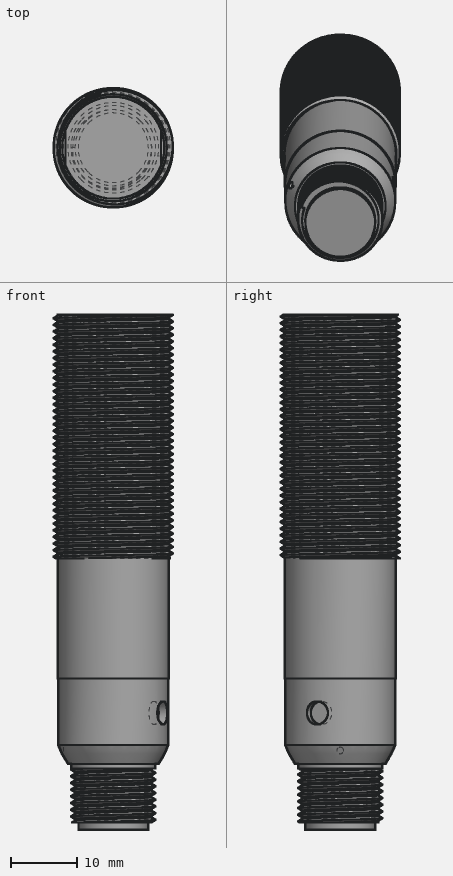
import cadquery as cq
import math

total_height = 77.6
shell_joint_height = 22.8
taper_top_height = 12.8
taper_bottom_height = 9.9
neck_bottom_height = 9.2
tip_height = 1.1

barrel_radius = 8.4
end_shell_radius = 8.3
taper_end_radius = 6.8
taper_bulge = 0.1
neck_radius = 6.4
connector_core_radius = 5.75
tip_radius = 5.3

barrel_thread_radius = 9.0
barrel_thread_bottom = 40.9
barrel_thread_phase = 41.1
barrel_thread_last_crest = 77.1
barrel_thread_turns = 36
barrel_thread_pitch = (barrel_thread_last_crest - barrel_thread_phase) / barrel_thread_turns
barrel_thread_width = 0.9
connector_thread_radius = 6.4
connector_thread_pitch = 1.0
connector_thread_phase = 2.0
connector_thread_width = 0.9
thread_root_overlap = 0.12

lens_radius = 7.7
lens_flat_distance = 7.2
lens_gap_radius = 8.1
lens_gap_depth = 0.6

adjuster_diameter = 3.5
adjuster_height = 17.6
adjuster_angle = -25.0
adjuster_depth = 1.55

indicator_diameter = 1.0
indicator_height = 11.95
indicator_floor_distance = 7.5


def turned_body():
    """Plain stretches of the body between the two threads: barrel, end shell, rounded taper and neck."""
    taper_middle = (
        (end_shell_radius + taper_end_radius) / 2 + taper_bulge,
        (taper_top_height + taper_bottom_height) / 2 - taper_bulge,
    )
    return (
        cq.Workplane("XZ")
        .moveTo(0, neck_bottom_height)
        .lineTo(neck_radius, neck_bottom_height)
        .lineTo(neck_radius, taper_bottom_height)
        .lineTo(taper_end_radius, taper_bottom_height)
        .threePointArc(taper_middle, (end_shell_radius, taper_top_height))
        .lineTo(end_shell_radius, shell_joint_height)
        .lineTo(barrel_radius, shell_joint_height)
        .lineTo(barrel_radius, barrel_thread_bottom)
        .lineTo(0, barrel_thread_bottom)
        .close()
        .revolve(360, (0, 0, 0), (0, 1, 0))
    )


def threaded_rod(core_radius, crest_radius, bottom, top, pitch, phase, width):
    """Rod with a sharp V ridge wound around it, cut square at its bottom and top heights."""
    root_radius = core_radius - thread_root_overlap
    turns = math.ceil((top - bottom) / pitch) + 2
    helix = cq.Wire.makeHelix(pitch, pitch * turns, core_radius)
    ridge = (
        cq.Workplane("XZ")
        .moveTo(root_radius, -width / 2)
        .lineTo(crest_radius, 0)
        .lineTo(root_radius, width / 2)
        .close()
        .sweep(cq.Workplane(obj=helix), isFrenet=True)
        .rotate((0, 0, 0), (0, 0, 1), 180)
        .translate((0, 0, phase - pitch))
    )
    core_bottom = phase - 2 * pitch
    core_height = (turns + 2) * pitch
    core = cq.Workplane("XY", origin=(0, 0, core_bottom)).circle(core_radius).extrude(core_height)
    envelope = cq.Workplane("XY", origin=(0, 0, bottom)).circle(2 * crest_radius).extrude(top - bottom)
    return core.union(ridge).intersect(envelope)


def lens_gap():
    """Ring-shaped gap around the lens: a conical outer wall and two flats on the lens."""
    funnel = cq.Workplane("XY").add(
        cq.Solid.makeCone(lens_radius, lens_gap_radius, lens_gap_depth)
    )
    lens = (
        cq.Workplane("XY")
        .circle(lens_radius)
        .extrude(lens_gap_depth)
        .intersect(cq.Workplane("XY").box(2 * lens_flat_distance, 2 * lens_radius, 2 * lens_gap_depth))
    )
    return funnel.cut(lens).translate((0, 0, total_height - lens_gap_depth))


def adjuster_recess():
    """Blind round recess pointing at the axis."""
    floor_distance = end_shell_radius - adjuster_depth
    return (
        cq.Workplane("YZ", origin=(floor_distance, 0, adjuster_height))
        .circle(adjuster_diameter / 2)
        .extrude(2 * adjuster_depth)
        .rotate((0, 0, 0), (0, 0, 1), adjuster_angle)
    )


def indicator_hole():
    """Small blind hole entering the taper along X."""
    return (
        cq.Workplane("YZ", origin=(-indicator_floor_distance, 0, indicator_height))
        .circle(indicator_diameter / 2)
        .extrude(indicator_floor_distance - end_shell_radius)
    )


threaded_barrel = threaded_rod(
    barrel_radius,
    barrel_thread_radius,
    barrel_thread_bottom,
    total_height,
    barrel_thread_pitch,
    barrel_thread_phase,
    barrel_thread_width,
)
threaded_connector = threaded_rod(
    connector_core_radius,
    connector_thread_radius,
    tip_height,
    neck_bottom_height,
    connector_thread_pitch,
    connector_thread_phase,
    connector_thread_width,
)
connector_tip = cq.Workplane("XY").circle(tip_radius).extrude(tip_height)

sensor = turned_body().union(threaded_barrel).union(threaded_connector).union(connector_tip)
result = sensor.cut(lens_gap()).cut(adjuster_recess()).cut(indicator_hole()).solids()